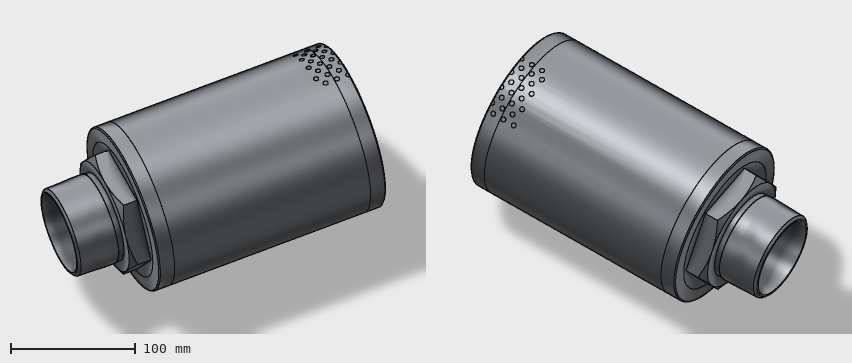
import cadquery as cq
import math

LENGTH = 256.0
FRONT_Y = -LENGTH / 2

NIPPLE_LENGTH = 40.0
HEX_LENGTH = 16.0
CAP_LENGTH = 13.5
HEX_FRONT_Y = FRONT_Y + NIPPLE_LENGTH
FRONT_CAP_Y = HEX_FRONT_Y + HEX_LENGTH
HOUSING_FRONT_Y = FRONT_CAP_Y + CAP_LENGTH
REAR_Y = FRONT_Y + LENGTH
HOUSING_REAR_Y = REAR_Y - CAP_LENGTH

BODY_RADIUS = 140.0 / 2
CAP_CHAMFER = 1.0

FLANGE_RADIUS = 57.5
HEX_ACROSS_FLATS = 94.5
HEX_CORNER_ANGLE = 30.0
NECK_RADIUS = 37.6
NECK_LENGTH = 4.9
COLLAR_RADIUS = 38.1
COLLAR_LENGTH = 10.0
TIP_RADIUS = 37.5
TIP_CHAMFER = 2.0
TIP_FACE_RADIUS = 35.0
BORE_RADIUS = 33.5

MARK_RADIUS = 2.0
MARK_DEPTH = 0.3
MARK_COLUMNS = 8
MARK_ROWS_PER_COLUMN = 3
MARK_ANGLE_STEP = 6.0
MARK_ROW_STEP = 10.0
FIRST_MARK_INSET = 1.15


def cylinder(radius, start_y, end_y):
    """Solid cylinder on the Y axis between two stations."""
    plane = cq.Workplane("XZ", origin=(0, start_y, 0))
    return plane.circle(radius).extrude(start_y - end_y)


def perforate(body):
    """Cut the staggered marks into the outer surface of a body, each down to a concentric floor."""
    floor = cylinder(BODY_RADIUS - MARK_DEPTH, HOUSING_FRONT_Y, REAR_Y + MARK_RADIUS)
    peg_length = BODY_RADIUS + MARK_RADIUS
    for column in range(MARK_COLUMNS):
        stagger = (column % 2) * MARK_ROW_STEP / 2
        for row in range(MARK_ROWS_PER_COLUMN):
            mark_y = REAR_Y - FIRST_MARK_INSET - stagger - row * MARK_ROW_STEP
            peg = cq.Workplane("XY", origin=(0, mark_y, 0)).circle(MARK_RADIUS).extrude(peg_length)
            peg = peg.rotate((0, 0, 0), (0, 1, 0), -column * MARK_ANGLE_STEP)
            body = body.cut(peg.cut(floor))
    return body


def make_rear_cap():
    cap = cylinder(BODY_RADIUS, HOUSING_REAR_Y, REAR_Y)
    return perforate(cap.faces(">Y").chamfer(CAP_CHAMFER))


def make_housing():
    return perforate(cylinder(BODY_RADIUS, HOUSING_FRONT_Y, HOUSING_REAR_Y))


def make_front_cap():
    cap = cylinder(BODY_RADIUS, FRONT_CAP_Y, HOUSING_FRONT_Y)
    cap = cap.faces("<Y").chamfer(CAP_CHAMFER)
    return cap.cut(cylinder(FLANGE_RADIUS, FRONT_CAP_Y, HOUSING_FRONT_Y))


def make_hexagon():
    """Hexagon with its front corners turned down to a circle that touches the flats."""
    corner_radius = HEX_ACROSS_FLATS / math.sqrt(3)
    flat_radius = HEX_ACROSS_FLATS / 2
    chamfer_length = (corner_radius - flat_radius) * math.tan(math.radians(HEX_CORNER_ANGLE))
    hexagon = (
        cq.Workplane("XZ", origin=(0, HEX_FRONT_Y, 0))
        .polygon(6, 2 * corner_radius)
        .extrude(-HEX_LENGTH)
    )
    turned_blank = (
        cq.Workplane("XY")
        .moveTo(0, HEX_FRONT_Y)
        .lineTo(flat_radius, HEX_FRONT_Y)
        .lineTo(corner_radius, HEX_FRONT_Y + chamfer_length)
        .lineTo(corner_radius, FRONT_CAP_Y)
        .lineTo(0, FRONT_CAP_Y)
        .close()
        .revolve(360, (0, 0, 0), (0, 1, 0))
    )
    return hexagon.intersect(turned_blank)


def make_nipple():
    """Turned nipple: a neck, a collar and a taper down to a chamfered tip."""
    collar_rear_y = HEX_FRONT_Y - NECK_LENGTH
    collar_front_y = collar_rear_y - COLLAR_LENGTH
    return (
        cq.Workplane("XY")
        .moveTo(0, FRONT_Y)
        .lineTo(TIP_FACE_RADIUS, FRONT_Y)
        .lineTo(TIP_RADIUS, FRONT_Y + TIP_CHAMFER)
        .lineTo(COLLAR_RADIUS, collar_front_y)
        .lineTo(COLLAR_RADIUS, collar_rear_y)
        .lineTo(NECK_RADIUS, collar_rear_y)
        .lineTo(NECK_RADIUS, HEX_FRONT_Y)
        .lineTo(0, HEX_FRONT_Y)
        .close()
        .revolve(360, (0, 0, 0), (0, 1, 0))
    )


def make_fitting():
    flange = cylinder(FLANGE_RADIUS, FRONT_CAP_Y, HOUSING_FRONT_Y)
    bore = cylinder(BORE_RADIUS, FRONT_Y, HOUSING_FRONT_Y)
    return flange.union(make_hexagon()).union(make_nipple()).cut(bore)


rear_cap = make_rear_cap().solids()
housing = make_housing().solids()
front_cap = make_front_cap().solids()
fitting = make_fitting().solids()

result = cq.Compound.makeCompound([rear_cap.val(), housing.val(), front_cap.val(), fitting.val()])